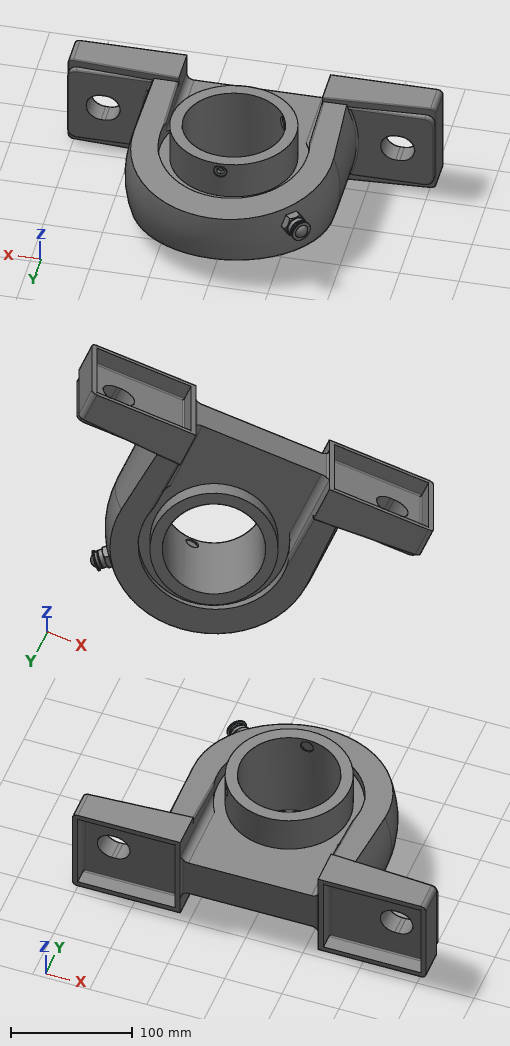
import cadquery as cq
import math


LENGTH = 310.0
BASE_Y = -95.0

HOUSING_R = 89.5
ARM_END_Y = -63.0
ARM_HALF_HEIGHT = 38.0
CROWN_HALF_HEIGHT = 20.8
ARM_ROOT_FILLET = 1.5

WEB_HALF_THICKNESS = 18.0
WEB_FRONT_Y = BASE_Y + 2.0
POCKET_R = 62.3
POCKET_HALF_WIDTH = 60.5
POCKET_FILLET = 6.5
POCKET_RIM_R = 1.5
WEB_END_FILLET = 2.0

RING_R = 52.7
BORE_R = 42.5
RING_TOP_Z = 51.5
RING_BOTTOM_Z = -34.0

FOOT_INNER_X = POCKET_HALF_WIDTH
FOOT_HALF_WIDTH = 41.5
FOOT_OUTER_Y = -68.8
FOOT_INNER_Y = -63.5
FOOT_CORNER_R = 4.5
FOOT_EDGE_R = 1.0
PAD_END_GAP = 1.0
PAD_SIDE_GAP = 6.8
PAD_CORNER_R = 7.5
FOOT_WALL = 4.5
FOOT_RECESS_DEPTH = 14.0
FOOT_RECESS_FILLET = 1.2
SLOT_X = 124.0
SLOT_LENGTH = 28.5
SLOT_WIDTH = 25.0

SCREW_ANGLES = (90, 210)
SCREW_Z = 43.5
SCREW_HOLE_R = 5.5
SCREW_SINK = 1.2
SOCKET_ACROSS_CORNERS = 6.8
SOCKET_DEPTH = 3.7

FITTING_ANGLE = 135
FITTING_Z = 9.0
FITTING_ROOT = 80.5
HEX_TOP = 95.0
HEX_ACROSS_CORNERS = 20.5
HEX_TURN = 30
HEX_CHAMFER = 1.5
NECK_R = 7.8
NECK_TOP = 99.0
GROOVE_R = 6.5
GROOVE_TOP = 99.8
COLLAR_R = 6.8
FLANGE_R = 8.7
FLANGE_BOTTOM = 102.3
FLANGE_TOP = 103.5
HEAD_R = 6.0
FITTING_TIP = 107.5


def box(x0, x1, y0, y1, z0, z1):
    """Axis-aligned block between two opposite corners."""
    return cq.Workplane("XY").box(x1 - x0, y1 - y0, z1 - z0, centered=False).translate((x0, y0, z0))


def disc(radius, z0, z1):
    """Cylinder about the bore axis between two heights."""
    return cq.Workplane("XY").workplane(offset=z0).circle(radius).extrude(z1 - z0)


def both_sides(right_half):
    """Join a solid with its mirror image across X = 0."""
    return right_half.union(right_half.mirror("YZ"))


def radial_plane(angle, distance, z):
    """Workplane facing away from the bore axis at the given angle in degrees."""
    outward = (math.cos(math.radians(angle)), math.sin(math.radians(angle)), 0)
    origin = (distance * outward[0], distance * outward[1], z)
    return cq.Workplane(cq.Plane(origin=origin, xDir=(0, 0, 1), normal=outward))


def make_housing():
    """Round-sided arch whose two faces close in towards the crown."""
    crown = cq.Workplane("XY").sphere(HOUSING_R)
    arms = cq.Workplane("XZ").circle(HOUSING_R).extrude(-ARM_END_Y)
    wedge = (
        cq.Workplane("YZ")
        .polyline([
            (ARM_END_Y, -ARM_HALF_HEIGHT),
            (HOUSING_R, -CROWN_HALF_HEIGHT),
            (HOUSING_R, CROWN_HALF_HEIGHT),
            (ARM_END_Y, ARM_HALF_HEIGHT),
        ])
        .close()
        .extrude(HOUSING_R, both=True)
    )
    return crown.union(arms).intersect(wedge)


def make_pocket():
    """Hollow on the +Z side of the web: straight with filleted corners, round about the ring."""
    r = POCKET_FILLET
    floor_z = WEB_HALF_THICKNESS
    top_z = FOOT_HALF_WIDTH
    straight = (
        cq.Workplane("XZ")
        .moveTo(-POCKET_HALF_WIDTH, top_z)
        .lineTo(-POCKET_HALF_WIDTH, floor_z + r)
        .radiusArc((-POCKET_HALF_WIDTH + r, floor_z), -r)
        .lineTo(POCKET_HALF_WIDTH - r, floor_z)
        .radiusArc((POCKET_HALF_WIDTH, floor_z + r), -r)
        .lineTo(POCKET_HALF_WIDTH, top_z)
        .close()
        .extrude(-BASE_Y)
    )
    return straight.union(disc(POCKET_R, floor_z, top_z))


def edges_near(x, y, z, reach):
    """Selector for edges centred close to a point, or to its mirror images across X = 0 and Z = 0."""
    selector = None
    for side_x in (-x, x):
        for side_z in (-z, z):
            low = (side_x - reach, y - reach, side_z - reach)
            high = (side_x + reach, y + reach, side_z + reach)
            near = cq.selectors.BoxSelector(low, high)
            selector = near if selector is None else selector + near
    return selector


def pocket_rims():
    """Sloping edges along the top of the straight pocket walls."""
    start_y = -math.sqrt(POCKET_R**2 - POCKET_HALF_WIDTH**2)
    mid_y = (start_y + ARM_END_Y) / 2
    taper = (ARM_HALF_HEIGHT - CROWN_HALF_HEIGHT) / (HOUSING_R - ARM_END_Y)
    mid_z = ARM_HALF_HEIGHT - taper * (mid_y - ARM_END_Y)
    return edges_near(POCKET_HALF_WIDTH, mid_y, mid_z, POCKET_RIM_R)


def make_arm_root():
    """Concave flare of the round arms onto the flat back of the foot pads."""
    r = ARM_ROOT_FILLET
    inner_r = HOUSING_R - r
    ring = (
        cq.Workplane("XY")
        .moveTo(inner_r, ARM_END_Y - r)
        .lineTo(HOUSING_R + r, ARM_END_Y - r)
        .lineTo(HOUSING_R + r, ARM_END_Y)
        .radiusArc((HOUSING_R, ARM_END_Y + r), r)
        .lineTo(inner_r, ARM_END_Y + r)
        .close()
        .revolve(360, (0, 0, 0), (0, 1, 0))
    )
    half_height = FOOT_HALF_WIDTH - PAD_SIDE_GAP - FOOT_EDGE_R
    pad_back = box(FOOT_INNER_X, LENGTH / 2, BASE_Y, 0, -half_height, half_height)
    return ring.intersect(pad_back)


def make_web_block():
    """Block between the feet, thinned to the web by the pockets."""
    half_width = POCKET_HALF_WIDTH
    return box(-half_width, half_width, WEB_FRONT_Y, ARM_END_Y, -ARM_HALF_HEIGHT, ARM_HALF_HEIGHT)


def make_foot():
    """Right-hand foot: sloping block with a pad on its back."""
    end_x = LENGTH / 2
    block = (
        cq.Workplane("XY")
        .workplane(offset=-FOOT_HALF_WIDTH)
        .polyline([
            (FOOT_INNER_X, BASE_Y),
            (end_x, BASE_Y),
            (end_x, FOOT_OUTER_Y),
            (FOOT_INNER_X, FOOT_INNER_Y),
        ])
        .close()
        .extrude(2 * FOOT_HALF_WIDTH)
    )
    block = block.edges("|Y and >X").fillet(FOOT_CORNER_R)
    block = block.faces(">Y").edges("not <X").fillet(FOOT_EDGE_R)
    pad_half_width = FOOT_HALF_WIDTH - PAD_SIDE_GAP
    pad = box(
        FOOT_INNER_X, end_x - PAD_END_GAP,
        BASE_Y + FOOT_RECESS_DEPTH, ARM_END_Y,
        -pad_half_width, pad_half_width,
    )
    pad = pad.edges("|Y and >X").fillet(PAD_CORNER_R)
    pad = pad.faces(">Y").edges("not <X").fillet(FOOT_EDGE_R)
    return block.union(pad)


def make_foot_cuts():
    """Underside recess and bolt slot of the right-hand foot."""
    half_width = FOOT_HALF_WIDTH - FOOT_WALL
    recess = box(
        FOOT_INNER_X + FOOT_WALL, LENGTH / 2 - FOOT_WALL,
        BASE_Y, BASE_Y + FOOT_RECESS_DEPTH,
        -half_width, half_width,
    )
    recess = recess.faces(">Y").edges().fillet(FOOT_RECESS_FILLET)
    slot = (
        cq.Workplane("XZ", origin=(SLOT_X, 0, 0))
        .slot2D(SLOT_LENGTH, SLOT_WIDTH)
        .extrude(-BASE_Y)
    )
    return recess.union(slot)


def make_web_end_fillet():
    """Concave strip joining the web front to the inner side of the right-hand foot."""
    r = WEB_END_FILLET
    return (
        cq.Workplane("XY")
        .workplane(offset=-ARM_HALF_HEIGHT)
        .moveTo(FOOT_INNER_X, WEB_FRONT_Y)
        .lineTo(FOOT_INNER_X - r, WEB_FRONT_Y)
        .radiusArc((FOOT_INNER_X, WEB_FRONT_Y - r), r)
        .close()
        .extrude(2 * ARM_HALF_HEIGHT)
    )


def make_screw_hole(angle):
    """Radial hole through the ring wall."""
    return radial_plane(angle, 0, SCREW_Z).circle(SCREW_HOLE_R).extrude(RING_R)


def make_screw(angle):
    """Set screw with a hexagon socket, short of both ring faces."""
    start = BORE_R + SCREW_SINK
    length = RING_R - SCREW_SINK - start
    screw = radial_plane(angle, start, SCREW_Z).circle(SCREW_HOLE_R).extrude(length)
    socket = (
        radial_plane(angle, start + length - SOCKET_DEPTH, SCREW_Z)
        .polygon(6, SOCKET_ACROSS_CORNERS)
        .extrude(SOCKET_DEPTH)
    )
    return screw.cut(socket)


def turn(profile):
    """Turn a closed (height, radius) outline about the axis of the grease fitting."""
    return (
        profile
        .close()
        .revolve(360, (0, 0, 0), (1, 0, 0))
        .rotate((0, 0, 0), (0, 0, 1), FITTING_ANGLE)
        .translate((0, 0, FITTING_Z))
    )


def make_fitting():
    """Grease fitting: chamfered hexagon, grooved neck, flange and domed head."""
    corner_r = HEX_ACROSS_CORNERS / 2
    flat_r = corner_r * math.cos(math.pi / 6)
    hexagon = (
        radial_plane(FITTING_ANGLE, FITTING_ROOT, FITTING_Z)
        .transformed(rotate=(0, 0, HEX_TURN))
        .polygon(6, HEX_ACROSS_CORNERS)
        .extrude(HEX_TOP - FITTING_ROOT)
    )
    trim_cone = turn(
        cq.Workplane("XY")
        .polyline([
            (FITTING_ROOT, 0),
            (FITTING_ROOT, corner_r),
            (HEX_TOP - HEX_CHAMFER, corner_r),
            (HEX_TOP, flat_r),
            (HEX_TOP, 0),
        ])
    )
    dome_height = FITTING_TIP - FLANGE_TOP
    dome_r = (HEAD_R**2 + dome_height**2) / (2 * dome_height)
    nipple = turn(
        cq.Workplane("XY")
        .polyline([
            (FITTING_ROOT, 0),
            (FITTING_ROOT, NECK_R),
            (NECK_TOP, NECK_R),
            (NECK_TOP, GROOVE_R),
            (GROOVE_TOP, GROOVE_R),
            (GROOVE_TOP, NECK_R),
            (FLANGE_BOTTOM, COLLAR_R),
            (FLANGE_BOTTOM, FLANGE_R),
            (FLANGE_TOP, FLANGE_R),
            (FLANGE_TOP, HEAD_R),
        ])
        .radiusArc((FITTING_TIP, 0), dome_r)
    )
    return hexagon.intersect(trim_cone).union(nipple)


pocket = make_pocket()
body = make_housing().cut(pocket).cut(pocket.mirror("XY"))
body = body.edges(pocket_rims()).fillet(POCKET_RIM_R)
body = body.union(both_sides(make_foot()))
body = body.union(both_sides(make_arm_root()))
web = make_web_block().union(both_sides(make_web_end_fillet()))
body = body.union(web.cut(pocket).cut(pocket.mirror("XY")))
body = body.cut(both_sides(make_foot_cuts()))

body = body.union(disc(RING_R, RING_BOTTOM_Z, RING_TOP_Z))
body = body.cut(disc(BORE_R, RING_BOTTOM_Z, RING_TOP_Z))

for screw_angle in SCREW_ANGLES:
    body = body.cut(make_screw_hole(screw_angle))
    body = body.union(make_screw(screw_angle))
result = body.union(make_fitting())